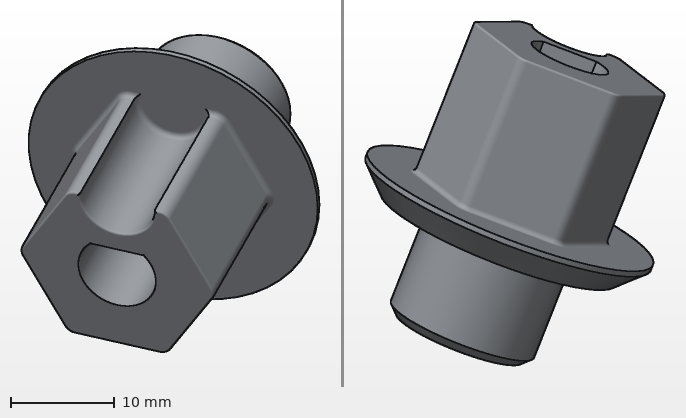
import cadquery as cq
import math

hex_length = 15.9
flange_thickness = 3.17
boss_length = 10.52

flange_diameter = 29.65
flange_radius = flange_diameter / 2
flange_rim_width = 0.57
boss_radius = 7.45
boss_end_chamfer = 0.9
boss_root_fillet = 0.45

hex_across_flats = 17.44
hex_across_corners = hex_across_flats / math.cos(math.pi / 6)
hex_corner_radius = 1.25
hex_root_fillet = 0.53
hex_end_fillet = 0.22

groove_radius = 3.82

bore_radius = 3.98
bore_flat_height = 2.9

boss_end = flange_thickness + boss_length
total_length = hex_length + boss_end


def make_flange_and_boss():
    """Revolved body: rimmed flange with a 45 degree back cone, then the round boss."""
    cone_depth = flange_thickness - flange_rim_width
    fillet_center_radius = boss_radius + boss_root_fillet
    fillet_center_y = flange_thickness + boss_root_fillet
    fillet_reach = boss_root_fillet * math.sqrt(0.5)
    return (
        cq.Workplane("XY")
        .lineTo(flange_radius, 0)
        .lineTo(flange_radius, flange_rim_width)
        .lineTo(flange_radius - cone_depth, flange_thickness)
        .lineTo(fillet_center_radius, flange_thickness)
        .threePointArc(
            (fillet_center_radius - fillet_reach, fillet_center_y - fillet_reach),
            (boss_radius, fillet_center_y),
        )
        .lineTo(boss_radius, boss_end - boss_end_chamfer)
        .lineTo(boss_radius - boss_end_chamfer, boss_end)
        .lineTo(0, boss_end)
        .close()
        .revolve(360, (0, 0, 0), (0, 1, 0))
    )


def make_hex_drive():
    """Rounded hexagon reaching toward -Y, grooved on its top flat, with a softened end."""
    hexagon = (
        cq.Workplane("XZ")
        .polygon(6, hex_across_corners)
        .extrude(hex_length)
        .edges("|Y")
        .fillet(hex_corner_radius)
    )
    groove = (
        cq.Workplane("XZ")
        .center(0, hex_across_flats / 2)
        .circle(groove_radius)
        .extrude(hex_length)
    )
    return hexagon.cut(groove).faces("<Y").edges().fillet(hex_end_fillet)


def fillet_hex_root(body):
    """Blend the hexagon and its groove into the flange face."""
    zone_reach = (hex_across_corners / 2 + flange_radius) / 2
    zone_depth = hex_root_fillet / 2
    root_zone = cq.selectors.BoxSelector(
        (-zone_reach, -zone_depth, -zone_reach),
        (zone_reach, zone_depth, zone_reach),
        boundingbox=True,
    )
    return body.edges(root_zone).fillet(hex_root_fillet)


def make_bore():
    """Through bore with a flat on its upper side."""
    flat_half_width = math.sqrt(bore_radius**2 - bore_flat_height**2)
    return (
        cq.Workplane("XZ", origin=(0, boss_end, 0))
        .moveTo(-flat_half_width, bore_flat_height)
        .lineTo(flat_half_width, bore_flat_height)
        .threePointArc((0, -bore_radius), (-flat_half_width, bore_flat_height))
        .close()
        .extrude(total_length)
    )


body = make_flange_and_boss().union(make_hex_drive())
result = fillet_hex_root(body).cut(make_bore())